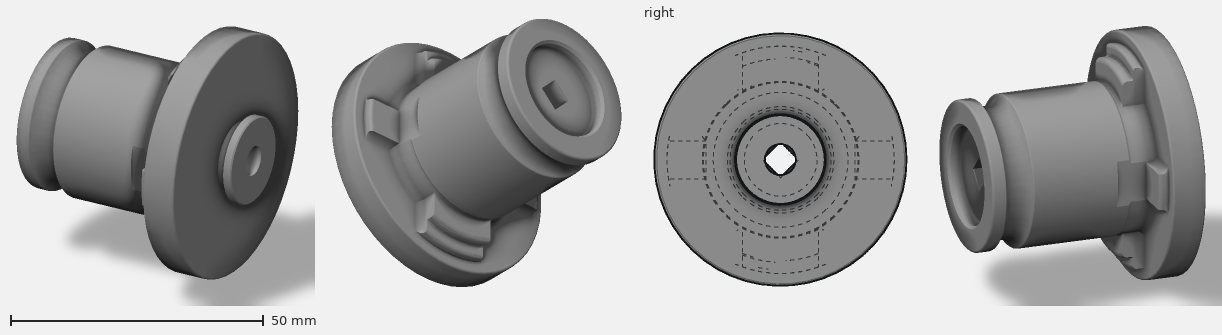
import cadquery as cq
import math

flat_start = 26.4
barrel_end = 29.0
pad_front = 30.3
lug_front = 32.55
flange_front = 34.5
flange_back = 41.5
knob_front = 43.75
total_length = 45.5

flange_radius = 25.0
flange_round = 0.45
stem_radius = 7.2
knob_radius = 9.0
knob_chamfer = 0.25

barrel_radius = 15.5
collar_radius = 15.3
collar_step_length = 0.35
rim_radius = collar_radius
rim_round = 0.5
flat_distance = 14.75

groove_centre = 5.75
groove_floor_radius = 13.35
groove_arc_radius = 3.0
groove_edge_round = 0.35

recess_radius = 10.0
recess_depth = 2.85
recess_edge_chamfer = 0.55
recess_floor_round = 0.55
square_side = 5.05
rear_bore_radius = 3.05

lug_radius = 22.5
lug_edge_round = 0.7
wide_lug_half_width = 7.5
narrow_lug_half_width = 3.75
root_fillet = 1.4
pad_radius = 20.0
pad_edge_round = 1.0
pad_step_fillet = 0.3
pad_collar_fillet = 0.35

margin = 0.05


def revolve_x(profile):
    """Close an XY half profile and spin it round the X axis."""
    return profile.close().revolve(360, (0, 0, 0), (1, 0, 0))


def cylinder_x(radius, start, end):
    return cq.Workplane("YZ", origin=(start, 0, 0)).circle(radius).extrude(end - start)


def block_z(half_width, start, end, reach):
    """Block of the given Y half width, running right across the part along Z."""
    block = cq.Workplane("XY").box(end - start, 2 * half_width, 2 * reach)
    return block.translate(((start + end) / 2, 0, 0))


def make_barrel():
    arc_centre_radius = groove_floor_radius + groove_arc_radius
    groove_rim_half = math.sqrt(groove_arc_radius**2 - (arc_centre_radius - rim_radius) ** 2)
    groove_barrel_half = math.sqrt(groove_arc_radius**2 - (arc_centre_radius - barrel_radius) ** 2)
    groove_start = groove_centre - groove_rim_half
    groove_end = groove_centre + groove_barrel_half
    barrel = revolve_x(
        cq.Workplane("XY")
        .moveTo(0, 0)
        .lineTo(0, rim_radius)
        .lineTo(groove_start, rim_radius)
        .threePointArc((groove_centre, groove_floor_radius), (groove_end, barrel_radius))
        .lineTo(barrel_end, barrel_radius)
        .lineTo(barrel_end + collar_step_length, collar_radius)
        .lineTo(flange_front, collar_radius)
        .lineTo(flange_front, 0)
    )
    barrel = barrel.faces("<X").edges().fillet(rim_round)
    groove_edges = cq.selectors.BoxSelector(
        (groove_start - margin, -barrel_radius, -barrel_radius),
        (groove_end + margin, barrel_radius, barrel_radius),
        boundingbox=False,
    )
    return barrel.edges("%CIRCLE").edges(groove_edges).fillet(groove_edge_round)


def cut_flats(barrel):
    length = lug_front - flat_start
    depth = barrel_radius - flat_distance
    for side in (-1, 1):
        cutter = cq.Workplane("XY").box(length, 2 * depth, 2 * barrel_radius)
        barrel = barrel.cut(cutter.translate((flat_start + length / 2, side * (flat_distance + depth), 0)))
    return barrel


def make_wide_lug():
    """Stepped lug pair along Z: a tall pad standing on a wider base."""
    base_disc = cylinder_x(lug_radius, lug_front, flange_front).faces("<X").edges().fillet(lug_edge_round)
    pad_disc = cylinder_x(pad_radius, pad_front, flange_front).faces("<X").edges().fillet(pad_edge_round)
    step_fillet = revolve_x(
        cq.Workplane("XY")
        .moveTo(lug_front, 0)
        .lineTo(lug_front, pad_radius + pad_step_fillet)
        .radiusArc((lug_front - pad_step_fillet, pad_radius), pad_step_fillet)
        .lineTo(lug_front - pad_step_fillet, 0)
    )
    stack = base_disc.union(pad_disc).union(step_fillet)
    return stack.intersect(block_z(wide_lug_half_width, pad_front, flange_front, lug_radius + margin))


def add_wide_lug(barrel):
    """Join the stepped lugs to the collar with a small fillet round their foot."""
    body = barrel.union(make_wide_lug())
    foot_z = math.sqrt(collar_radius**2 - wide_lug_half_width**2)
    for side in (-1, 1):
        foot = cq.selectors.BoxSelector(
            (pad_front - margin, -wide_lug_half_width - margin, side * (foot_z - margin)),
            (flange_front - margin, wide_lug_half_width + margin, side * (collar_radius + margin)),
        )
        body = body.edges(foot).fillet(pad_collar_fillet)
    return body


def make_flared_lug(half_width):
    """Low lug pair along Z whose flanks flare into the flange."""
    flare_start = flange_front - root_fillet
    flare_half = half_width + root_fillet
    half_prism = (
        cq.Workplane("XY")
        .moveTo(lug_front, 0)
        .lineTo(lug_front, half_width)
        .lineTo(flare_start, half_width)
        .radiusArc((flange_front, flare_half), -root_fillet)
        .lineTo(flange_front, 0)
        .close()
        .extrude(lug_radius + margin, both=True)
    )
    prism = half_prism.union(half_prism.mirror("XZ"))
    disc = cylinder_x(lug_radius, lug_front, flange_front).faces("<X").edges().fillet(lug_edge_round)
    return prism.intersect(disc)


def make_collar_root():
    """Concave fillet where the collar meets the flange."""
    return revolve_x(
        cq.Workplane("XY")
        .moveTo(flange_front - root_fillet, 0)
        .lineTo(flange_front - root_fillet, collar_radius)
        .radiusArc((flange_front, collar_radius + root_fillet), -root_fillet)
        .lineTo(flange_front, 0)
    )


def make_flange():
    flange = cylinder_x(flange_radius, flange_front, flange_back).edges().fillet(flange_round)
    stem = cylinder_x(stem_radius, flange_back, knob_front)
    knob = cylinder_x(knob_radius, knob_front, total_length).faces(">X").edges().chamfer(knob_chamfer)
    return flange.union(stem).union(knob)


def make_bore():
    """Cutter for the front recess, the square socket and the round hole behind it."""
    recess = cylinder_x(recess_radius, 0, recess_depth).faces(">X").edges().fillet(recess_floor_round)
    mouth = revolve_x(
        cq.Workplane("XY")
        .moveTo(0, 0)
        .lineTo(0, recess_radius + recess_edge_chamfer)
        .lineTo(recess_edge_chamfer, recess_radius)
        .lineTo(recess_edge_chamfer, 0)
    )
    square = cq.Workplane("YZ").rect(square_side, square_side).extrude(flange_back)
    square = square.rotate((0, 0, 0), (1, 0, 0), 45)
    rear_bore = cylinder_x(rear_bore_radius, flange_back, total_length)
    return recess.union(mouth).union(square).union(rear_bore)


body = add_wide_lug(cut_flats(make_barrel()))
body = body.union(make_collar_root())
body = body.union(make_flared_lug(wide_lug_half_width))
body = body.union(make_flared_lug(narrow_lug_half_width).rotate((0, 0, 0), (1, 0, 0), 90))
body = body.union(make_flange())
result = body.cut(make_bore())